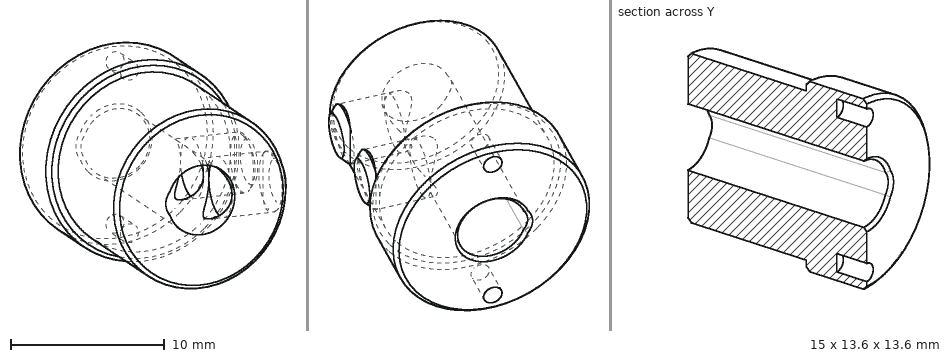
import cadquery as cq

total_length = 15.0
flange_length = 5.1
flange_diameter = 13.59
barrel_diameter = 12.1
barrel_length = total_length - flange_length
edge_chamfer = 0.3

bore_diameter = 4.7
bore_chamfer = 0.25
groove_radius = 1.25
groove_reach = 2.5

spanner_hole_diameter = 1.27
spanner_hole_offset = 5.5
spanner_hole_depth = 2.5

screw_diameter = 4.0
screw_length = 4.0
screw_top_diameter = 3.0
screw_positions = [flange_length + barrel_length * part for part in (0.25, 0.75)]

screw_tip_y = bore_diameter / 2
screw_top_y = screw_tip_y + screw_length
screw_top_taper = (screw_diameter - screw_top_diameter) / 2


def x_cylinder(diameter, length, start_x=0.0):
    """Cylinder on the sleeve axis."""
    return cq.Workplane("YZ").workplane(offset=start_x).circle(diameter / 2).extrude(length)


def make_bore():
    """Round bore joined with its groove, flared by a chamfer at the flange face."""
    groove_center_y = groove_radius - groove_reach
    bore = x_cylinder(bore_diameter, total_length)
    groove = x_cylinder(2 * groove_radius, total_length).translate((0, groove_center_y, 0))
    bore_flare = cq.Solid.makeCone(
        bore_diameter / 2 + bore_chamfer, bore_diameter / 2, bore_chamfer,
        cq.Vector(0, 0, 0), cq.Vector(1, 0, 0),
    )
    groove_flare = cq.Solid.makeCone(
        groove_radius + bore_chamfer, groove_radius, bore_chamfer,
        cq.Vector(0, groove_center_y, 0), cq.Vector(1, 0, 0),
    )
    return bore.union(groove).union(cq.Workplane(bore_flare)).union(cq.Workplane(groove_flare))


def turn_screw_shape(start_y, x):
    """Cylinder along Y from the given start to the tapered top of a screw."""
    profile = [
        (0, start_y),
        (screw_diameter / 2, start_y),
        (screw_diameter / 2, screw_top_y - screw_top_taper),
        (screw_top_diameter / 2, screw_top_y),
        (0, screw_top_y),
    ]
    screw_shape = cq.Workplane("XY").polyline(profile).close().revolve(360, (0, 0, 0), (0, 1, 0))
    return screw_shape.translate((x, 0, 0))


def make_screw_hole(x):
    """Round hole from the sleeve axis outward that closes onto the tapered top of the screw."""
    return turn_screw_shape(0, x)


def make_sleeve():
    flange = x_cylinder(flange_diameter, flange_length).edges().chamfer(edge_chamfer)
    barrel = x_cylinder(barrel_diameter, barrel_length, flange_length).edges(">X").chamfer(edge_chamfer)
    sleeve = flange.union(barrel).cut(make_bore())
    for side in (-1, 1):
        spanner_hole = x_cylinder(spanner_hole_diameter, spanner_hole_depth)
        sleeve = sleeve.cut(spanner_hole.translate((0, 0, side * spanner_hole_offset)))
    for x in screw_positions:
        sleeve = sleeve.cut(make_screw_hole(x))
    return sleeve


def make_set_screw(x):
    """Headless screw along Y with a tapered top and a flat tip."""
    return turn_screw_shape(screw_tip_y, x)


sleeve = make_sleeve()
set_screws = [make_set_screw(x) for x in screw_positions]

result = cq.Compound.makeCompound([sleeve.val(), *[screw.val() for screw in set_screws]])